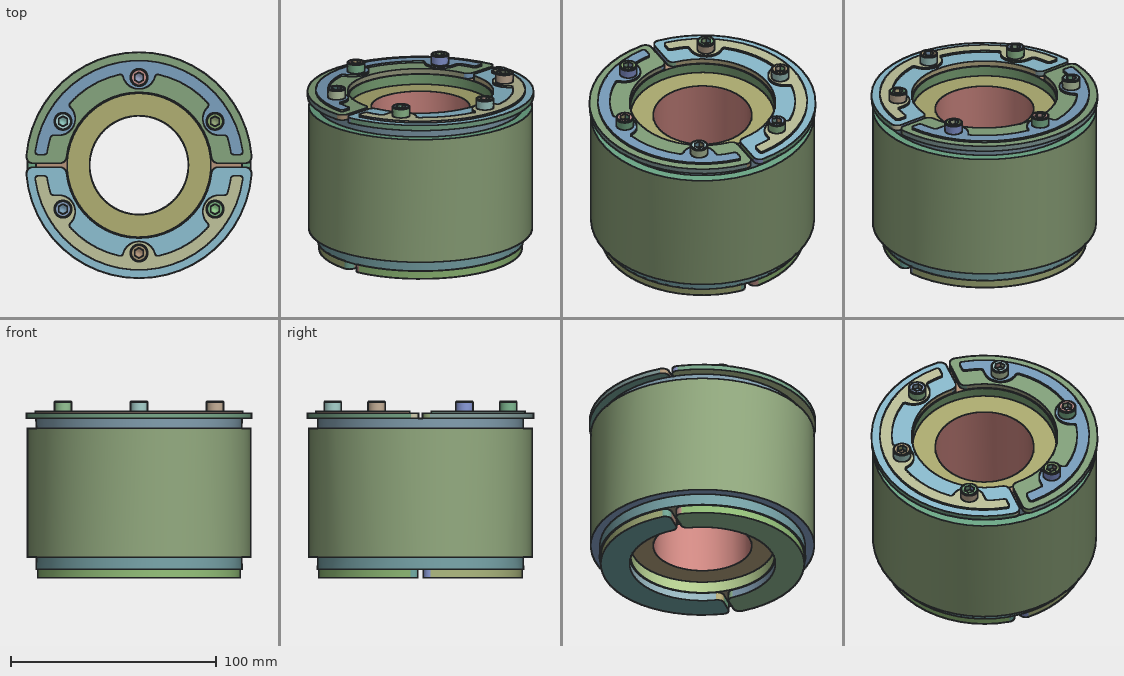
import cadquery as cq
import math

bore_diameter = 48.0
recess_diameter = 70.0
neck_diameter = 100.0
neck_end_diameter = 100.3
body_diameter = 108.8
bottom_plate_top = 4.2
body_bottom = 10.1
body_top = 72.7
recess_floor = 72.4
neck_top = 77.5

top_plate_diameter = 110
top_plate_gap = 1.9
top_plate_thickness = 2.6
bottom_plate_diameter = 99
bottom_plate_gap = 2.5
plate_bore_diameter = 71.0
plate_corner_radius = 3.3

pad_height = 0.9
pad_outer_radius = 50.9
pad_inner_radius = 45.1
pad_end_y = 5.2
pad_corner_radius = 1.4
lobe_radius = 8.0

screw_angles = (30, 90, 150)
screw_circle_radius = 42.7
screw_diameter = 8.5
screw_chamfer = 0.4
screw_top = 85.8
socket_flats = 4.3
socket_depth = 2.8
socket_tip_depth = 1.1

plate_top = neck_top + top_plate_thickness
pad_top = plate_top + pad_height


def disc(diameter, bottom, top):
    return cq.Workplane("XY").workplane(offset=bottom).circle(diameter / 2).extrude(top - bottom)


def ring(outer_diameter, inner_diameter, bottom, top):
    return disc(outer_diameter, bottom, top).cut(disc(inner_diameter, bottom, top))


def rear_half(solid, start_y):
    """Keep only the part of a solid that lies beyond y = start_y."""
    size = 2 * top_plate_diameter
    keeper = cq.Workplane("XY").box(size, size, size).translate((0, start_y + size / 2, 0))
    return solid.intersect(keeper)


def both_halves(rear):
    return rear.union(rear.mirror("XZ"))


def split_plate(diameter, gap, bottom, top):
    """Two half rings with rounded corners, separated along the X axis."""
    half = rear_half(ring(diameter, plate_bore_diameter, bottom, top), gap / 2)
    return both_halves(half.edges("|Z").fillet(plate_corner_radius))


def polar(radius, angle):
    return radius * math.cos(math.radians(angle)), radius * math.sin(math.radians(angle))


def raised_pad():
    """Arc-shaped pad that bulges inward around each screw."""
    pad = ring(2 * pad_outer_radius, 2 * pad_inner_radius, plate_top, pad_top)
    limit = disc(2 * pad_outer_radius, plate_top, pad_top)
    for angle in screw_angles:
        x, y = polar(pad_inner_radius, angle)
        lobe = disc(2 * lobe_radius, plate_top, pad_top).translate((x, y, 0))
        pad = pad.union(lobe.intersect(limit))
    for angle in (screw_angles[0], screw_angles[-1]):
        x, y = polar(pad_inner_radius, angle)
        outward = math.copysign(lobe_radius, x)
        side = cq.Workplane("XY").box(lobe_radius, lobe_radius, pad_height)
        side = side.translate((x + outward / 2, y - lobe_radius / 2, plate_top + pad_height / 2))
        pad = pad.union(side.intersect(limit))
    half = rear_half(pad, pad_end_y)
    return both_halves(half.clean().edges("|Z").fillet(pad_corner_radius))


def screw_head():
    """Chamfered head with a hexagonal socket that ends in a cone."""
    head = disc(screw_diameter, plate_top, screw_top).faces(">Z").chamfer(screw_chamfer)
    socket_bottom = screw_top - socket_depth - socket_tip_depth
    socket = (
        cq.Workplane("XY").workplane(offset=socket_bottom)
        .polygon(6, socket_flats, circumscribed=True).extrude(socket_depth + socket_tip_depth)
    )
    corner_radius = socket_flats / math.sqrt(3)
    drill = cq.Workplane("XZ").polyline([
        (0, socket_bottom),
        (corner_radius, screw_top - socket_depth),
        (corner_radius, screw_top),
        (0, screw_top),
    ]).close().revolve(360, (0, 0, 0), (0, 1, 0))
    return head.cut(socket.intersect(drill))


def tapered_body():
    """Body with a slightly flared neck at each end, a recess in each neck and a through bore."""
    outline = [
        (0, bottom_plate_top),
        (neck_end_diameter / 2, bottom_plate_top),
        (neck_diameter / 2, body_bottom),
        (body_diameter / 2, body_bottom),
        (body_diameter / 2, body_top),
        (neck_diameter / 2, body_top),
        (neck_end_diameter / 2, neck_top),
        (0, neck_top),
    ]
    solid = cq.Workplane("XZ").polyline(outline).close().revolve(360, (0, 0, 0), (0, 1, 0))
    solid = solid.cut(disc(recess_diameter, recess_floor, neck_top))
    solid = solid.cut(disc(recess_diameter, bottom_plate_top, body_bottom))
    return solid.cut(disc(bore_diameter, body_bottom, recess_floor))


result = tapered_body()
result = result.union(split_plate(top_plate_diameter, top_plate_gap, neck_top, plate_top))
result = result.union(split_plate(bottom_plate_diameter, bottom_plate_gap, 0, bottom_plate_top))
result = result.union(raised_pad())
for half_turn in (0, 180):
    for angle in screw_angles:
        x, y = polar(screw_circle_radius, angle + half_turn)
        result = result.union(screw_head().translate((x, y, 0)))